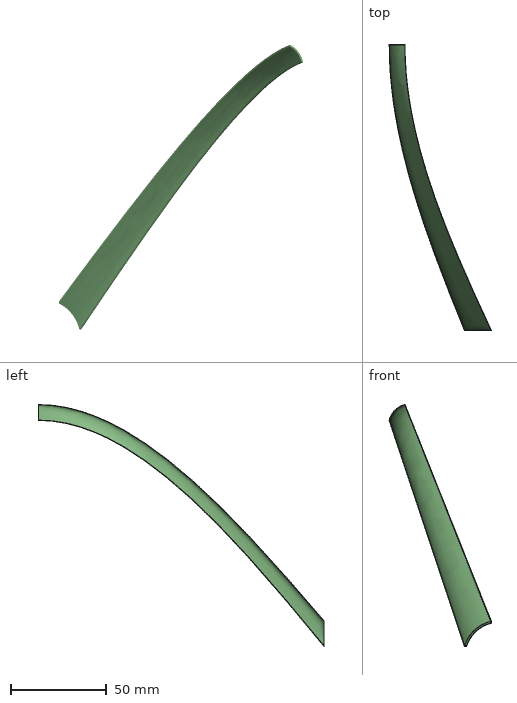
import math

import cadquery as cq

LENGTH = 149.4
WALL = 1.0

NARROW_WIDTH = 8.25
NARROW_HEIGHT = 8.25
NARROW_RISE = 1.6

WIDE_WIDTH = 14.0
WIDE_HEIGHT = 13.2
WIDE_RISE = 2.6
SHIFT_X = 39.35
DROP_Z = 118.17
END_SLOPE = 1.545

STATIONS = 9


def sweep_progress(t):
    """Share of the sideways shift and drop reached at t: a cubic, level at t = 0, at END_SLOPE at t = 1."""
    return 3 * t**2 - 2 * t**3 + END_SLOPE * (t**3 - t**2)


def blend(narrow, wide, progress):
    return narrow + (wide - narrow) * progress


def section(t):
    """Curved-strip cross-section, a band between two concentric arcs, at t along the length."""
    progress = sweep_progress(t)
    low_x = SHIFT_X * progress
    low_z = -DROP_Z * progress
    width = blend(NARROW_WIDTH, WIDE_WIDTH, progress)
    height = blend(NARROW_HEIGHT, WIDE_HEIGHT, progress)
    rise = blend(NARROW_RISE, WIDE_RISE, progress)

    chord = math.hypot(width, height)
    radius = chord**2 / (8 * rise) + rise / 2
    bulge_angle = math.atan2(height, width) + math.pi / 2
    half_angle = math.asin(chord / (2 * radius))
    center_x = low_x + width / 2 - (radius - rise) * math.cos(bulge_angle)
    center_z = low_z + height / 2 - (radius - rise) * math.sin(bulge_angle)

    def arc_point(arc_radius, angle):
        x = center_x + arc_radius * math.cos(angle)
        z = center_z + arc_radius * math.sin(angle)
        return cq.Vector(x, -LENGTH * t, z)

    low_angle = bulge_angle + half_angle
    high_angle = bulge_angle - half_angle
    outer = [arc_point(radius, a) for a in (low_angle, bulge_angle, high_angle)]

    inner_radius = radius - WALL
    inner_low_angle = math.pi - math.asin((low_z - center_z) / inner_radius)
    inner_high_angle = math.acos((low_x + width - center_x) / inner_radius)
    inner = [arc_point(inner_radius, a) for a in (inner_high_angle, bulge_angle, inner_low_angle)]
    return cq.Wire.assembleEdges(
        [
            cq.Edge.makeThreePointArc(*outer),
            cq.Edge.makeLine(outer[-1], inner[0]),
            cq.Edge.makeThreePointArc(*inner),
            cq.Edge.makeLine(inner[-1], outer[0]),
        ]
    )


sections = [section(i / (STATIONS - 1)) for i in range(STATIONS)]
result = cq.Workplane("XY").newObject([cq.Solid.makeLoft(sections)])